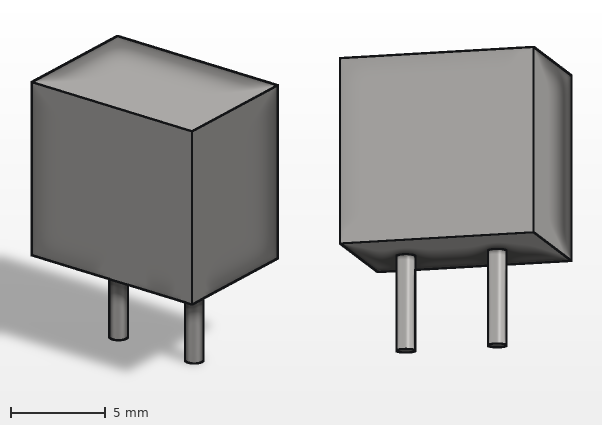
import cadquery as cq

housing_length = 10.6
housing_width = 7.5
housing_height = 10.0

pin_diameter = 1.0
pin_length = 5.1
pin_pitch = 5.0

pin_row_x = 0.3
pin_row_y = -0.25


def make_housing():
    return cq.Workplane("XY").box(
        housing_length, housing_width, housing_height, centered=(True, True, False)
    )


def make_pin(x, y):
    return cq.Workplane("XY").center(x, y).circle(pin_diameter / 2).extrude(-pin_length)


housing = make_housing()

pins = []
for side in (-1, 1):
    pins.append(make_pin(pin_row_x + side * pin_pitch / 2, pin_row_y))

result = cq.Compound.makeCompound([housing.val(), *[pin.val() for pin in pins]])